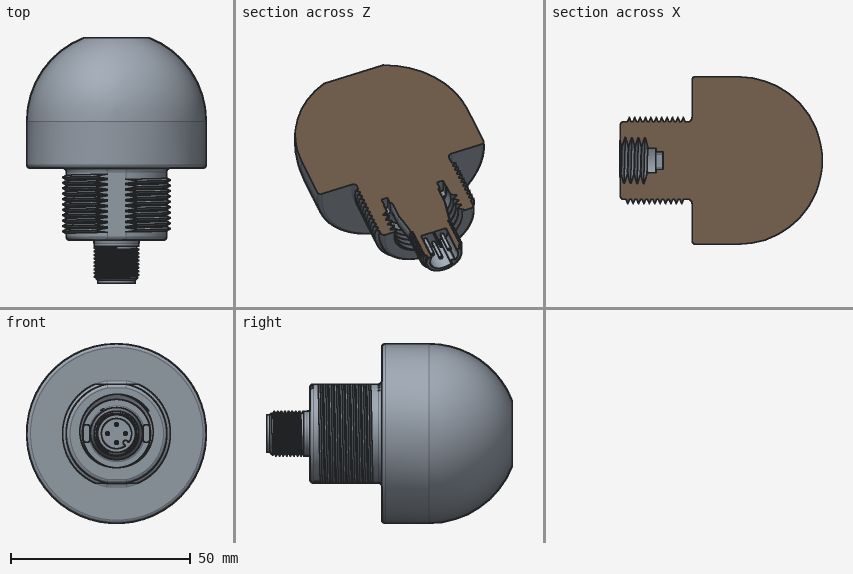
import cadquery as cq
import math


HOUSING_RADIUS = 25.0
SKIRT_HEIGHT = 13.0
HOUSING_HEIGHT = 36.3
SEAT_EDGE_RADIUS = 1.0

NECK_LENGTH = 20.0
NECK_CORE_RADIUS = 14.0
NECK_FLAT_DISTANCE = 13.75
NECK_FILLET = 1.0
NECK_THREAD_RADIUS = 15.0
NECK_THREAD_PITCH = 1.5
NECK_THREAD_START = 2.2
NECK_THREAD_TURNS = 10.55
NECK_THREAD_START_ANGLE = 90.0

BORE_RADIUS = 9.5
BORE_DEPTH = 10.0
BORE_THREAD_PITCH = 1.814
BORE_GROOVE_EXIT_ANGLE = 90.0

RECESS_INNER_X = 7.4
RECESS_OUTER_X = 9.2
RECESS_HEIGHT = 4.8
RECESS_CORNER_RADIUS = 0.6
RECESS_DEPTH = 2.0

CONNECTOR_END = 32.0
CONE_BASE_RADIUS = 7.25
CONE_FOOT_FILLET = 0.5
CONE_START = 15.0
CONE_END = 20.8
COLLAR_RADIUS = 6.25
COLLAR_END = 21.7
CONNECTOR_CORE_RADIUS = 5.7
TIP_RADIUS = 5.25
TIP_LENGTH = 0.9
CONNECTOR_THREAD_RADIUS = 6.25
CONNECTOR_THREAD_PITCH = 1.0
CONNECTOR_THREAD_START = 21.9
CONNECTOR_THREAD_TURNS = 8.75
CONNECTOR_THREAD_START_ANGLE = 90.0

SOCKET_RADIUS = 4.2
SOCKET_DEPTH = 8.0
PIN_RADIUS = 0.5
PIN_CHAMFER = 0.3
PIN_CIRCLE_RADIUS = 2.5
PIN_COUNT = 4
PIN_SETBACK = 2.0
KEY_RADIUS = 0.65
KEY_CENTER_RADIUS = 3.57
KEY_ANGLE = -45.0

THREAD_HALF_ANGLE = math.radians(30.0)
OVERLAP = 0.1


def cylinder(radius, bottom, top):
    """Cylinder on the Z axis between two heights."""
    return cq.Workplane("XY").workplane(offset=bottom).circle(radius).extrude(top - bottom)


def helical_thread(base_radius, crest_radius, pitch, start, turns, start_angle):
    """Sharp 60 degree V swept along a helix, its base sunk slightly below base_radius."""
    sunk_radius = base_radius - OVERLAP
    half_base = (crest_radius - sunk_radius) * math.tan(THREAD_HALF_ANGLE)
    helix = cq.Wire.makeHelix(pitch, pitch * turns, base_radius)
    profile = cq.Workplane("XZ").polyline(
        [(sunk_radius, -half_base), (crest_radius, 0), (sunk_radius, half_base)]
    ).close()
    thread = profile.sweep(cq.Workplane(helix), isFrenet=True)
    return thread.rotate((0, 0, 0), (0, 0, 1), start_angle).translate((0, 0, start))


def make_housing():
    """Skirt with a rounded seat edge and a spherical dome that ends in a flat."""
    dome_height = HOUSING_HEIGHT - SKIRT_HEIGHT
    flat_radius = math.sqrt(HOUSING_RADIUS**2 - dome_height**2)
    arc_middle = math.atan2(dome_height, flat_radius) / 2
    return (
        cq.Workplane("YZ")
        .moveTo(0, 0)
        .lineTo(HOUSING_RADIUS - SEAT_EDGE_RADIUS, 0)
        .radiusArc((HOUSING_RADIUS, -SEAT_EDGE_RADIUS), SEAT_EDGE_RADIUS)
        .lineTo(HOUSING_RADIUS, -SKIRT_HEIGHT)
        .threePointArc(
            (
                HOUSING_RADIUS * math.cos(arc_middle),
                -SKIRT_HEIGHT - HOUSING_RADIUS * math.sin(arc_middle),
            ),
            (flat_radius, -HOUSING_HEIGHT),
        )
        .lineTo(0, -HOUSING_HEIGHT)
        .close()
        .revolve(360, (0, 0, 0), (0, 1, 0))
    )


def make_flat_cutters():
    """Two blocks, one beyond each flat of the neck."""
    depth = NECK_THREAD_RADIUS - NECK_FLAT_DISTANCE + NECK_FILLET
    center_y = NECK_FLAT_DISTANCE + depth / 2
    width = 2 * NECK_THREAD_RADIUS
    return (
        cq.Workplane("XY")
        .pushPoints([(0, center_y), (0, -center_y)])
        .box(width, depth, 3 * NECK_LENGTH)
    )


def make_neck():
    """Neck with its thread, both cut by the two flats, and a rounded free end."""
    thread = helical_thread(
        NECK_CORE_RADIUS,
        NECK_THREAD_RADIUS,
        NECK_THREAD_PITCH,
        NECK_THREAD_START,
        NECK_THREAD_TURNS,
        NECK_THREAD_START_ANGLE,
    )
    round_neck = cylinder(NECK_CORE_RADIUS, 0, NECK_LENGTH).union(thread)
    neck = round_neck.cut(make_flat_cutters())
    return neck.faces(">Z").edges().fillet(NECK_FILLET)


def make_housing_with_neck():
    """Housing and neck joined, with a fillet around the root of the neck."""
    body = make_housing().union(make_neck())
    neck_root = cq.selectors.BoxSelector(
        (-NECK_THREAD_RADIUS, -NECK_THREAD_RADIUS, -OVERLAP),
        (NECK_THREAD_RADIUS, NECK_THREAD_RADIUS, OVERLAP),
    )
    return body.edges(neck_root).fillet(NECK_FILLET)


def make_bore():
    """Space of the bore, including the thread groove that runs out through its mouth."""
    floor = NECK_LENGTH - BORE_DEPTH
    bore = cylinder(BORE_RADIUS, floor, NECK_LENGTH + BORE_THREAD_PITCH)
    groove_radius = BORE_RADIUS - OVERLAP + BORE_THREAD_PITCH / 2 / math.tan(THREAD_HALF_ANGLE)
    turns = math.floor(BORE_DEPTH / BORE_THREAD_PITCH)
    groove = helical_thread(
        BORE_RADIUS,
        groove_radius,
        BORE_THREAD_PITCH,
        NECK_LENGTH - (turns - 1) * BORE_THREAD_PITCH,
        turns,
        BORE_GROOVE_EXIT_ANGLE,
    )
    return bore.union(groove)


def make_recesses():
    """Two pockets in the bore floor that also notch the fillet at the foot of the cone."""
    floor = NECK_LENGTH - BORE_DEPTH
    width = RECESS_OUTER_X - RECESS_INNER_X
    center_x = (RECESS_OUTER_X + RECESS_INNER_X) / 2
    return (
        cq.Workplane("XY")
        .workplane(offset=floor - RECESS_DEPTH)
        .pushPoints([(-center_x, 0), (center_x, 0)])
        .rect(width, RECESS_HEIGHT)
        .extrude(RECESS_DEPTH + CONE_FOOT_FILLET)
        .edges("|Z")
        .fillet(RECESS_CORNER_RADIUS)
    )


def make_connector():
    """Conical stem, collar and threaded plug, standing on the bore floor."""
    floor = NECK_LENGTH - BORE_DEPTH
    tip_start = CONNECTOR_END - TIP_LENGTH
    body = (
        cq.Workplane("YZ")
        .moveTo(0, floor - OVERLAP)
        .lineTo(CONE_BASE_RADIUS + CONE_FOOT_FILLET, floor - OVERLAP)
        .lineTo(CONE_BASE_RADIUS + CONE_FOOT_FILLET, floor)
        .radiusArc((CONE_BASE_RADIUS, floor + CONE_FOOT_FILLET), CONE_FOOT_FILLET)
        .lineTo(CONE_BASE_RADIUS, CONE_START)
        .lineTo(COLLAR_RADIUS, CONE_END)
        .lineTo(COLLAR_RADIUS, COLLAR_END)
        .lineTo(CONNECTOR_CORE_RADIUS, COLLAR_END)
        .lineTo(CONNECTOR_CORE_RADIUS, tip_start)
        .lineTo(TIP_RADIUS, tip_start)
        .lineTo(TIP_RADIUS, CONNECTOR_END)
        .lineTo(0, CONNECTOR_END)
        .close()
        .revolve(360, (0, 0, 0), (0, 1, 0))
    )
    thread = helical_thread(
        CONNECTOR_CORE_RADIUS,
        CONNECTOR_THREAD_RADIUS,
        CONNECTOR_THREAD_PITCH,
        CONNECTOR_THREAD_START,
        CONNECTOR_THREAD_TURNS,
        CONNECTOR_THREAD_START_ANGLE,
    )
    return body.union(thread).cut(make_tip_relief())


def make_tip_relief():
    """Ring around the plain tip, with a 45 degree face that runs the thread out."""
    tip_start = CONNECTOR_END - TIP_LENGTH
    outer_radius = CONNECTOR_THREAD_RADIUS + OVERLAP
    return (
        cq.Workplane("YZ")
        .polyline(
            [
                (TIP_RADIUS, tip_start),
                (outer_radius, tip_start - (outer_radius - TIP_RADIUS)),
                (outer_radius, CONNECTOR_END),
                (TIP_RADIUS, CONNECTOR_END),
            ]
        )
        .close()
        .revolve(360, (0, 0, 0), (0, 1, 0))
    )


def make_key():
    """Coding key: a rib with a round inner edge that grows out of the socket wall."""
    rib_length = SOCKET_RADIUS + KEY_RADIUS - KEY_CENTER_RADIUS
    floor = CONNECTOR_END - SOCKET_DEPTH
    return (
        cq.Workplane("XY")
        .workplane(offset=floor)
        .moveTo(KEY_CENTER_RADIUS + rib_length, -KEY_RADIUS)
        .lineTo(KEY_CENTER_RADIUS, -KEY_RADIUS)
        .radiusArc((KEY_CENTER_RADIUS, KEY_RADIUS), KEY_RADIUS)
        .lineTo(KEY_CENTER_RADIUS + rib_length, KEY_RADIUS)
        .close()
        .extrude(SOCKET_DEPTH)
        .rotate((0, 0, 0), (0, 0, 1), KEY_ANGLE)
    )


def make_socket():
    """Space of the socket around its pins and its key."""
    floor = CONNECTOR_END - SOCKET_DEPTH
    pins = (
        cq.Workplane("XY")
        .workplane(offset=floor)
        .polarArray(PIN_CIRCLE_RADIUS, 0, 360, PIN_COUNT)
        .circle(PIN_RADIUS)
        .extrude(SOCKET_DEPTH - PIN_SETBACK)
        .faces(">Z")
        .chamfer(PIN_CHAMFER)
    )
    return cylinder(SOCKET_RADIUS, floor, CONNECTOR_END).cut(make_key()).cut(pins)


part = (
    make_housing_with_neck()
    .cut(make_bore())
    .union(make_connector())
    .cut(make_recesses())
    .cut(make_socket())
)
result = part.rotate((0, 0, 0), (1, 0, 0), 90)